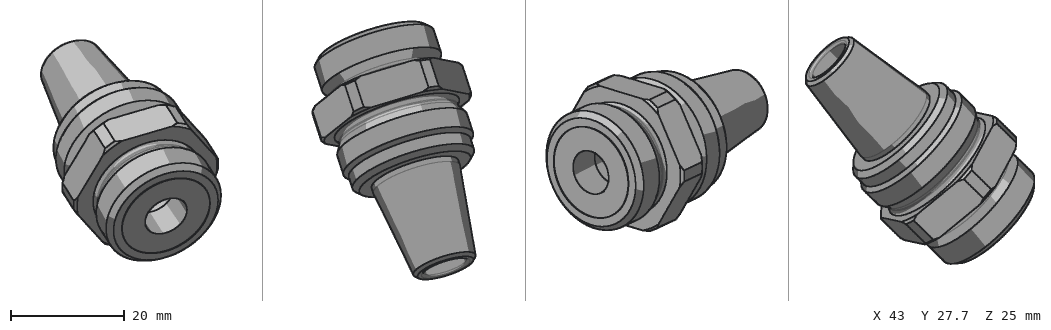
import cadquery as cq
import math

length = 43.0
bore_diameter = 8.0

tip_diameter = 10.3
tip_chamfer = 0.6
tip_bore_round = 0.47
nipple_diameter = 16.05
taper_end = 17.0
socket_depth = 3.95

body_start = 17.95
collar_diameter = 22.5
collar_chamfer = 1.0
left_thread_diameter = 24.0
left_thread_end = 25.45
left_thread_chamfer = (left_thread_diameter - collar_diameter) / 2
left_chamfer_start = 21.05

left_groove_diameter = 22.0
right_groove_diameter = 20.0
groove_radius = 1.0
groove_root_width = 0.2
groove_flank_angle = math.radians(30)

hex_start = 28.5
hex_width = 6.0
hex_across_flats = 25.0
hex_corner_diameter = 27.7
hex_chamfer = 0.47
hex_end = hex_start + hex_width

right_thread_start = 37.5
right_thread_diameter = 22.0
end_chamfer = (right_thread_diameter - right_groove_diameter) / 2
insert_projection = 0.15
insert_diameter = 16.8
insert_length = 6.0
body_end = length - insert_projection


def cylinder(start, end, diameter):
    """Solid cylinder along X."""
    return cq.Workplane("YZ").workplane(offset=start).circle(diameter / 2).extrude(end - start)


def revolve_about_x(profile):
    """Turn a closed profile of X and radius about the X axis."""
    return profile.close().revolve(360, (0, 0, 0), (1, 0, 0))


def groove_section(thread_edge, hex_face, thread_diameter, groove_diameter):
    """Solid neck from a thread edge to a hexagon face, with a sloping flank and two rounded roots."""
    side = math.copysign(1, hex_face - thread_edge)
    thread_radius = thread_diameter / 2
    root = groove_diameter / 2

    def arc_point(center_x, angle, direction):
        x = center_x + direction * groove_radius * math.sin(angle)
        return x, root + groove_radius * (1 - math.cos(angle))

    flank_foot = root + groove_radius * (1 - math.cos(groove_flank_angle))
    flank_length = (thread_radius - flank_foot) / math.tan(groove_flank_angle)
    flank_center = thread_edge + side * (flank_length + groove_radius * math.sin(groove_flank_angle))

    hex_center = flank_center + side * groove_root_width
    hex_angle = math.asin(abs(hex_face - hex_center) / groove_radius)
    return revolve_about_x(
        cq.Workplane("XY")
        .moveTo(thread_edge, 0)
        .lineTo(thread_edge, thread_radius)
        .lineTo(*arc_point(flank_center, groove_flank_angle, -side))
        .threePointArc(arc_point(flank_center, groove_flank_angle / 2, -side), (flank_center, root))
        .lineTo(hex_center, root)
        .threePointArc(arc_point(hex_center, hex_angle / 2, side), arc_point(hex_center, hex_angle, side))
        .lineTo(hex_face, 0)
    )

def make_nipple():
    end = body_start + socket_depth
    tip_radius = tip_diameter / 2
    outer = revolve_about_x(
        cq.Workplane("XY")
        .lineTo(0, tip_radius)
        .lineTo(tip_chamfer, tip_radius + tip_chamfer)
        .lineTo(taper_end, nipple_diameter / 2)
        .lineTo(end, nipple_diameter / 2)
        .lineTo(end, 0)
    )
    bored = outer.cut(cylinder(0, end, bore_diameter))
    return bored.faces("<X").edges(cq.selectors.RadiusNthSelector(0)).fillet(tip_bore_round)


def make_hexagon():
    prism = (
        cq.Workplane("YZ")
        .workplane(offset=hex_start)
        .transformed(rotate=(0, 0, 30))
        .polygon(6, hex_across_flats, circumscribed=True)
        .extrude(hex_width)
    )
    turned = cylinder(hex_start, hex_end, hex_corner_diameter).edges().chamfer(hex_chamfer)
    return prism.intersect(turned)


def make_body():
    collar = cylinder(body_start, left_chamfer_start, collar_diameter).faces("<X").chamfer(collar_chamfer)
    left_thread = (
        cylinder(left_chamfer_start, left_thread_end, left_thread_diameter)
        .faces("<X").chamfer(left_thread_chamfer)
    )
    left_groove = groove_section(left_thread_end, hex_start, left_thread_diameter, left_groove_diameter)
    right_groove = groove_section(right_thread_start, hex_end, right_thread_diameter, right_groove_diameter)
    right_thread = (
        cylinder(right_thread_start, body_end, right_thread_diameter)
        .faces(">X").chamfer(end_chamfer)
    )
    outer = collar.union(left_thread).union(left_groove).union(make_hexagon())
    outer = outer.union(right_groove).union(right_thread)

    nipple_socket = cylinder(body_start, body_start + socket_depth, nipple_diameter)
    insert_recess = cylinder(length - insert_length, body_end, insert_diameter)
    bore = cylinder(body_start, body_end, bore_diameter)
    return outer.cut(nipple_socket).cut(insert_recess).cut(bore)


def make_insert():
    start = length - insert_length
    return cylinder(start, length, insert_diameter).cut(cylinder(start, length, bore_diameter))


nipple = make_nipple()
body = make_body()
insert = make_insert()

result = cq.Compound.makeCompound([nipple.solids().val(), body.solids().val(), insert.solids().val()])